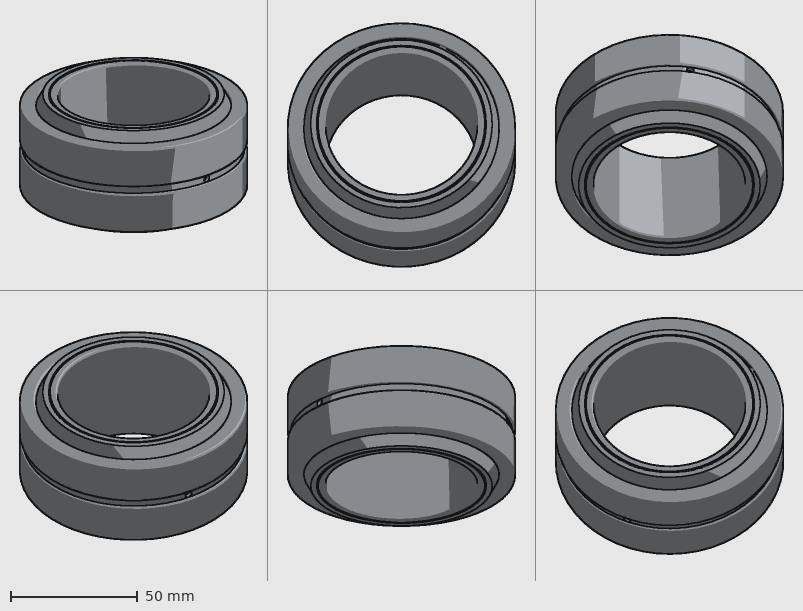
import cadquery as cq

inner_width = 43.9
bore_radius = 30.0
sleeve_radius = 33.5
sleeve_chamfer = 0.5
ball_radius = 42.0

ring_width = 36.0
ring_radius = 45.0
groove_width = 3.0
groove_depth = 1.1
hole_diameter = 2.8
hole_count = 3
first_hole_angle = 90

round_radius = 1.0


def cylinder(radius, width):
    """Cylinder on the Z axis, centred on the origin."""
    return cq.Workplane("XY").circle(radius).extrude(width / 2, both=True)


def make_sleeve():
    """Plain bush with rounded bore rims and chamfered outer rims."""
    sleeve = cylinder(sleeve_radius, inner_width)
    sleeve = sleeve.faces("|Z").edges().chamfer(sleeve_chamfer)
    sleeve = sleeve.cut(cylinder(bore_radius, inner_width))
    bore_rims = sleeve.faces("|Z").edges(cq.selectors.RadiusNthSelector(0))
    return bore_rims.fillet(round_radius)


def make_ball():
    """Truncated ball bored to fit the sleeve."""
    ball = cq.Workplane("XY").sphere(ball_radius)
    ball = ball.intersect(cylinder(ball_radius, inner_width))
    return ball.cut(cylinder(sleeve_radius, inner_width))


def make_outer_ring():
    """Outer ring with a spherical seat, rounded edges, a groove and lubrication holes."""
    ring = cylinder(ring_radius, ring_width)
    ring = ring.cut(cq.Workplane("XY").sphere(ball_radius))
    ring = ring.faces("|Z").edges().fillet(round_radius)

    groove_floor = cylinder(ring_radius - groove_depth, groove_width)
    ring = ring.cut(cylinder(ring_radius, groove_width).cut(groove_floor))
    groove_edges = ring.faces("|Z").edges(cq.selectors.RadiusNthSelector(-1))
    ring = groove_edges.fillet(round_radius)

    for index in range(hole_count):
        angle = first_hole_angle + index * 360 / hole_count
        hole = cq.Workplane("YZ").circle(hole_diameter / 2).extrude(ring_radius)
        ring = ring.cut(hole.rotate((0, 0, 0), (0, 0, 1), angle))
    return ring


sleeve = make_sleeve()
ball = make_ball()
outer_ring = make_outer_ring()

result = cq.Compound.makeCompound([sleeve.val(), ball.val(), outer_ring.val()])